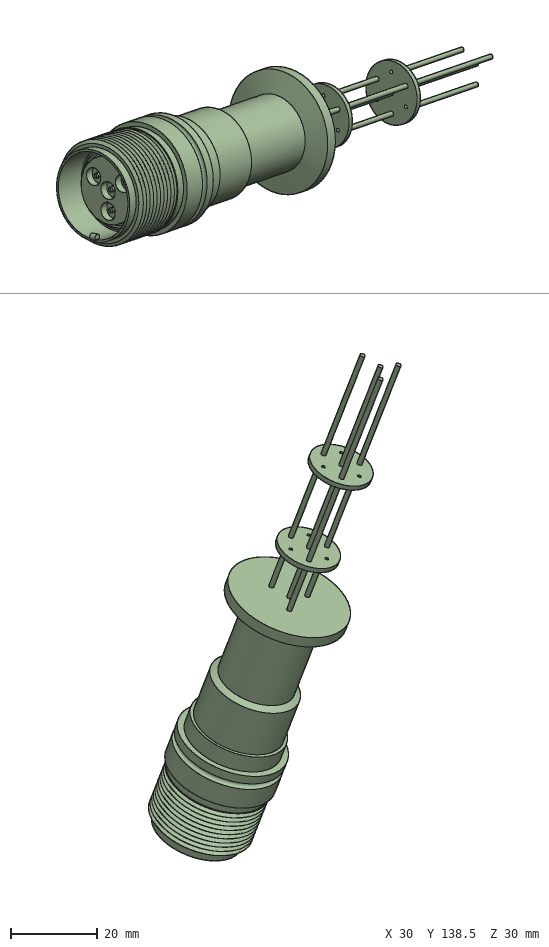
import cadquery as cq
import math


flange_radius = 15.0
flange_rim_end = 2.8
flange_end = 4.3
tube_radius = 9.4
tube_end = 24.6

sleeve_start = 25.6
sleeve_radius = 11.1
sleeve_end = 38.0
collar_radius = 11.9
collar_end = 42.4
ring_radius = 13.6
ring_end = 51.8
ring_groove_place = 45.4
ring_groove_width = 1.7
ring_groove_depth = 1.1
neck_radius = 12.5
nose_radius = 11.1
nose_end = 69.5

thread_crest_radius = 12.7
thread_root_radius = 11.9
thread_pitch = 1.2
thread_count = 11
first_crest = 54.1

cavity_radius = 10.5
cavity_depth = 8.3
insert_base_radius = 10.1
insert_shoulder_radius = 9.3
insert_step_radius = 8.7
insert_face_radius = 8.2
insert_face_depth = 5.4
insert_barrel_length = 1.5
insert_chamfer_depth = 0.3

rod_radius = 0.62
rod_length = 68.7
rod_root_depth = 1.4
contact_circle_diameter = 10.1
contact_angles = (30, 150, 270)
socket_diameter = 4.3
socket_depth = 2.1
tip_length = 1.4
tip_chamfer = 0.3

spacer_radius = 7.8
spacer_thickness = 1.2
spacer_places = (14.1, 38.6)
spacer_hole_radius = 0.4
spacer_hole_angles = (90, 210, 330)

overall_length = 138.5
bump_radius = 0.8
bump_width = 1.7
bump_circle_radius = 10.1


def on_circle(angles):
    """X, Z places on the contact circle."""
    radius = contact_circle_diameter / 2
    return [
        (radius * math.cos(math.radians(angle)), radius * math.sin(math.radians(angle)))
        for angle in angles
    ]


contact_places = [(0, 0)] + on_circle(contact_angles)


def cylinders(places, radius, start, end):
    """Cylinders along Y between two Y values, one for each X, Z place."""
    return (
        cq.Workplane("XZ", origin=(0, end, 0))
        .pushPoints(places)
        .circle(radius)
        .extrude(end - start)
    )


def spin(outline):
    """Turn a closed radius, Y outline about the Y axis."""
    return outline.close().revolve(360, (0, 0, 0), (0, 1, 0))


def shell_body():
    outline = (
        cq.Workplane("XY")
        .lineTo(flange_radius, 0)
        .lineTo(flange_radius, -flange_rim_end)
        .lineTo(tube_radius, -flange_end)
        .lineTo(tube_radius, -tube_end)
        .lineTo(sleeve_radius, -sleeve_start)
        .lineTo(sleeve_radius, -sleeve_end)
        .lineTo(collar_radius, -sleeve_end)
        .lineTo(collar_radius, -collar_end)
        .lineTo(ring_radius, -collar_end)
        .lineTo(ring_radius, -ring_groove_place + ring_groove_width / 2)
        .threePointArc(
            (ring_radius - ring_groove_depth, -ring_groove_place),
            (ring_radius, -ring_groove_place - ring_groove_width / 2),
        )
        .lineTo(ring_radius, -ring_end)
        .lineTo(neck_radius, -ring_end)
    )
    outline = outline.lineTo(neck_radius, -first_crest)
    for index in range(thread_count):
        crest = first_crest + index * thread_pitch
        thread_end = crest + thread_pitch / 2
        outline = outline.lineTo(thread_crest_radius, -crest).lineTo(thread_root_radius, -thread_end)
    outline = (
        outline.lineTo(nose_radius, -thread_end)
        .lineTo(nose_radius, -nose_end)
        .lineTo(0, -nose_end)
    )
    return spin(outline)


def nose_cavity():
    """Space around and in front of the stepped insert."""
    face = nose_end - insert_face_depth
    barrel_end = face - insert_barrel_length
    step = barrel_end - insert_chamfer_depth
    floor = nose_end - cavity_depth
    outline = (
        cq.Workplane("XY")
        .moveTo(0, -nose_end)
        .lineTo(cavity_radius, -nose_end)
        .lineTo(cavity_radius, -floor)
        .lineTo(insert_base_radius, -floor)
        .lineTo(insert_shoulder_radius, -step)
        .lineTo(insert_step_radius, -step)
        .lineTo(insert_face_radius, -barrel_end)
        .lineTo(insert_face_radius, -face)
        .lineTo(0, -face)
    )
    return spin(outline)


def contact_sockets():
    """Round sockets in the insert face, each with a chamfered rod tip standing in it."""
    face = -nose_end + insert_face_depth
    floor = face + socket_depth
    sockets = cylinders(contact_places, socket_diameter / 2, face, floor)
    tips = cylinders(contact_places, rod_radius, floor - tip_length, floor)
    return sockets.cut(tips.faces("<Y").chamfer(tip_chamfer))


def pin_rods():
    return cylinders(contact_places, rod_radius, -rod_root_depth, rod_length)


def spacer(place):
    start = place - spacer_thickness / 2
    end = place + spacer_thickness / 2
    disc = cylinders([(0, 0)], spacer_radius, start, end)
    return disc.cut(cylinders(on_circle(spacer_hole_angles), spacer_hole_radius, start, end))


def index_bump():
    tip = rod_length - overall_length
    return (
        cq.Workplane("YZ", origin=(-bump_width / 2, tip + bump_radius, -bump_circle_radius))
        .circle(bump_radius)
        .extrude(bump_width)
    )


result = shell_body().cut(nose_cavity()).cut(contact_sockets())
for spacer_place in spacer_places:
    result = result.union(spacer(spacer_place))
result = result.union(pin_rods()).union(index_bump())